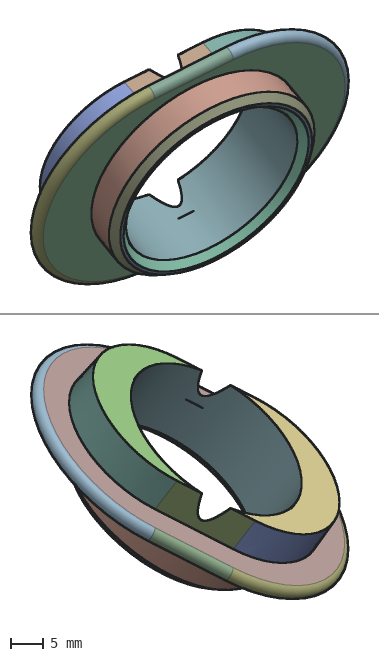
import cadquery as cq
import math

overall_length = 15.24
flange_width = 58.47
flange_height = 43.94
flange_thickness = 2.54
plug_length = 6.35
plug_end_height = 31.3
plug_draft = 3.0
spigot_diameter = 38.1
spigot_chamfer = 1.27
bore_diameter = 31.75
bore_chamfer = 1.27

straight_length = flange_width - flange_height
end_center = straight_length / 2
rim_radius = flange_thickness / 2
flange_end_radius = flange_height / 2
flange_face_radius = flange_end_radius - rim_radius
flange_start = plug_length
flange_end = flange_start + flange_thickness
spigot_length = overall_length - flange_end
plug_end_radius = plug_end_height / 2
plug_root_radius = plug_end_radius + plug_length * math.tan(math.radians(plug_draft))


def oblong(profile):
    """Carry a half profile, drawn in XZ from the X axis outwards, around an oblong."""
    outline = profile.val()
    upper_half = cq.Workplane("XZ").add(outline).toPending().extrude(straight_length / 2, both=True)
    round_end = cq.Workplane("XZ").add(outline).toPending().revolve(360, (0, 0), (1, 0))
    body = upper_half.union(upper_half.mirror("XY"))
    for side in (-1, 1):
        body = body.union(round_end.translate((0, side * end_center, 0)))
    return body


def drafted_plug():
    """Oblong plug that widens towards the flange."""
    profile = (
        cq.Workplane("XZ")
        .lineTo(0, plug_end_radius)
        .lineTo(plug_length, plug_root_radius)
        .lineTo(plug_length, 0)
        .close()
    )
    return oblong(profile)


def rounded_flange():
    """Oblong flange with a full-round rim."""
    profile = (
        cq.Workplane("XZ")
        .moveTo(flange_start, 0)
        .lineTo(flange_start, flange_face_radius)
        .threePointArc(
            (flange_start + rim_radius, flange_end_radius),
            (flange_end, flange_face_radius),
        )
        .lineTo(flange_end, 0)
        .close()
    )
    return oblong(profile)


def spigot():
    """Round spigot with a chamfered free end."""
    return (
        cq.Workplane("YZ", origin=(flange_end, 0, 0))
        .circle(spigot_diameter / 2)
        .extrude(spigot_length)
        .faces(">X")
        .chamfer(spigot_chamfer)
    )


def bore():
    """Through bore, flared by a chamfer where it leaves the spigot."""
    bore_radius = bore_diameter / 2
    flare_start = overall_length - bore_chamfer
    return (
        cq.Workplane("XZ")
        .lineTo(0, bore_radius)
        .lineTo(flare_start, bore_radius)
        .lineTo(overall_length, bore_radius + bore_chamfer)
        .lineTo(overall_length, 0)
        .close()
        .revolve(360, (0, 0), (1, 0))
    )


result = drafted_plug().union(rounded_flange()).union(spigot()).cut(bore())